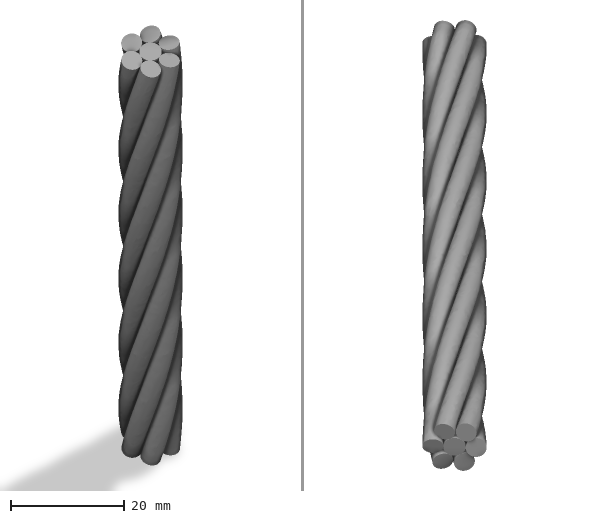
import cadquery as cq
import math


overall_length = 115.8
core_diameter = 3.9
outer_diameter = 3.7
outer_count = 6

lay_radius = (core_diameter + outer_diameter) / 2
lay_circumference = 2 * math.pi * lay_radius


def end_overhang(lay_length):
    """Height of an outer wire's tilted end face, cut square to the helix."""
    lean = math.atan2(lay_circumference, lay_length)
    return outer_diameter * math.sin(lean)


refinement_steps = 5
lay_length = overall_length
for _ in range(refinement_steps):
    lay_length = overall_length - end_overhang(lay_length)


def make_core_wire():
    """Straight centre wire, as long as one lay."""
    return cq.Workplane("XY").circle(core_diameter / 2).extrude(lay_length)


def make_outer_wire(start_angle):
    """Right-hand helical wire that starts at the given angle about Z."""
    helix = cq.Wire.makeHelix(lay_length, lay_length, lay_radius)
    end_plane = cq.Plane(
        origin=(lay_radius, 0, 0),
        xDir=(1, 0, 0),
        normal=(0, lay_circumference, lay_length),
    )
    wire = cq.Workplane(end_plane).circle(outer_diameter / 2).sweep(helix, isFrenet=True)
    return wire.rotate((0, 0, 0), (0, 0, 1), start_angle)


core_wire = make_core_wire()
outer_wires = [make_outer_wire(i * 360 / outer_count) for i in range(outer_count)]

result = cq.Compound.makeCompound([core_wire.val(), *[wire.val() for wire in outer_wires]])